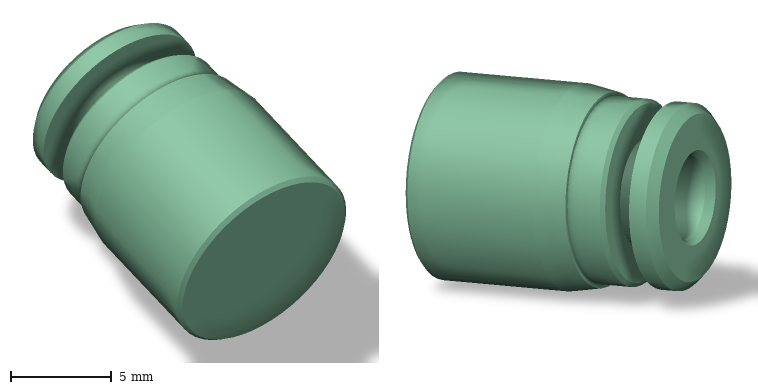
import cadquery as cq
import math

total_length = 13.55
body_radius = 5.2
body_end_chamfer = 0.2

shoulder_x = 4.81
shoulder_length = 1.65
shoulder_angle = 10.0

collar_radius = 4.7
collar_chamfer = 0.2
flange_width = 1.41
flange_chamfer = 0.49
groove_width = 1.41
groove_radius = 2.76
groove_fillet = 0.27

bore_radius = 2.1
mouth_radius = 2.38
mouth_depth = 0.45
bore_floor_thickness = 1.63

collar_x = flange_width + groove_width
shoulder_end_x = shoulder_x + shoulder_length
shoulder_radius = body_radius - shoulder_length * math.tan(math.radians(shoulder_angle))
bore_depth = total_length - bore_floor_thickness


def outer_body():
    """Solid of revolution: flange, groove, collar, tapered shoulder and body."""
    fillet_mid = groove_fillet * (1 - math.sqrt(0.5))
    profile = (
        cq.Workplane("XY")
        .moveTo(0, 0)
        .lineTo(0, collar_radius - flange_chamfer)
        .lineTo(flange_chamfer, collar_radius)
        .lineTo(flange_width, collar_radius)
        .lineTo(flange_width, groove_radius + groove_fillet)
        .threePointArc(
            (flange_width + fillet_mid, groove_radius + fillet_mid),
            (flange_width + groove_fillet, groove_radius),
        )
        .lineTo(collar_x, groove_radius)
        .lineTo(collar_x, collar_radius - collar_chamfer)
        .lineTo(collar_x + collar_chamfer, collar_radius)
        .lineTo(shoulder_x, collar_radius)
        .lineTo(shoulder_x, shoulder_radius)
        .lineTo(shoulder_end_x, body_radius)
        .lineTo(total_length - body_end_chamfer, body_radius)
        .lineTo(total_length, body_radius - body_end_chamfer)
        .lineTo(total_length, 0)
        .close()
    )
    return profile.revolve(360, (0, 0, 0), (1, 0, 0))


def bore():
    """Blind hole with a flat floor and a conical lead-in at its mouth."""
    profile = (
        cq.Workplane("XY")
        .moveTo(0, 0)
        .lineTo(0, mouth_radius)
        .lineTo(mouth_depth, bore_radius)
        .lineTo(bore_depth, bore_radius)
        .lineTo(bore_depth, 0)
        .close()
    )
    return profile.revolve(360, (0, 0, 0), (1, 0, 0))


result = outer_body().cut(bore())